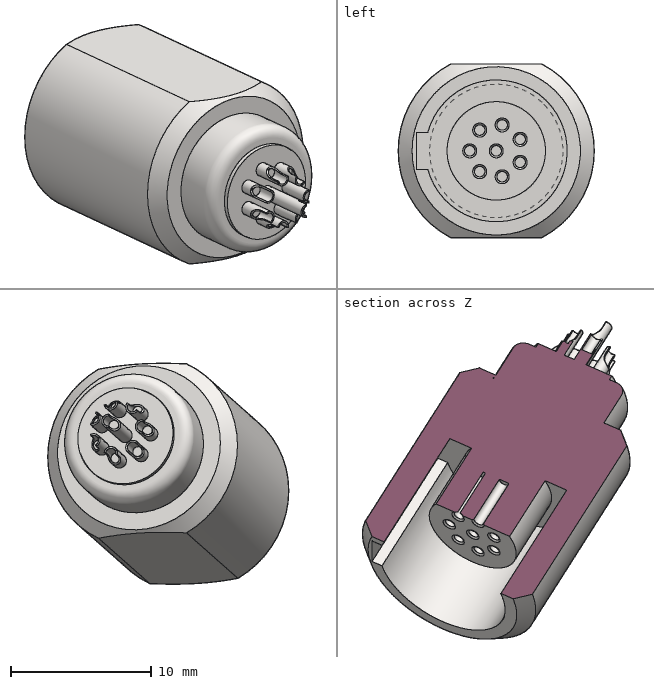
import cadquery as cq
import math

total_length = 24.9

shell_length = 16.38
shell_diameter = 14.0
shell_flat_width = 12.4
shell_chamfer = 1.0

socket_radius = 5.05
socket_depth = 10.0
keyway_width = 2.65
keyway_reach = 5.68

collar_radius = 4.75
collar_end = 19.85
collar_fillet = 0.8

insulator_radius = 3.5
insulator_start = 4.6
insulator_end = 20.2

contact_count = 7
contact_ring_radius = 1.9
contact_radius = 0.5
ring_contact_end = 22.68

pin_hole_radius = 0.37
pin_hole_depth = 3.98
pin_hole_chamfer = contact_radius - pin_hole_radius
cup_bore_radius = 0.37
cup_length = 1.5
cup_cut_radius = 1.0


def rod(radius, start, end):
    """Cylinder on the X axis between two stations."""
    return cq.Workplane("YZ", origin=(start, 0, 0)).circle(radius).extrude(end - start)


def make_shell():
    """Flatted and chamfered barrel with the keyed socket."""
    blank = rod(shell_diameter / 2, 0, shell_length).edges().chamfer(shell_chamfer)
    flats = cq.Workplane("XY").box(
        shell_length, shell_diameter, shell_flat_width, centered=(False, True, True)
    )
    keyway = cq.Workplane("XY").box(
        socket_depth, keyway_reach, keyway_width, centered=(False, False, True)
    )
    return blank.intersect(flats).cut(rod(socket_radius, 0, socket_depth)).cut(keyway)


def make_collar():
    """Rear collar with a rounded end."""
    collar = rod(collar_radius, shell_length, collar_end)
    return collar.faces(">X").edges().fillet(collar_fillet)


def make_pin_hole():
    """Hole in the insulator face with a countersunk mouth."""
    mouth = insulator_start + pin_hole_chamfer
    outline = (
        cq.Workplane("XY")
        .moveTo(insulator_start, 0)
        .lineTo(insulator_start, contact_radius)
        .lineTo(mouth, pin_hole_radius)
        .lineTo(insulator_start + pin_hole_depth, pin_hole_radius)
        .lineTo(insulator_start + pin_hole_depth, 0)
        .close()
    )
    return outline.revolve(360, (0, 0, 0), (1, 0, 0))


def make_contact(end):
    """Contact tail on the X axis whose solder cup opens towards +Y."""
    cup_start = end - cup_length
    run_out = math.sqrt(cup_cut_radius**2 - (cup_cut_radius - contact_radius) ** 2)
    flat_start = cup_start + run_out
    arc_middle_angle = math.asin(run_out / cup_cut_radius) / 2
    arc_middle = (
        flat_start - cup_cut_radius * math.sin(arc_middle_angle),
        cup_cut_radius * (1 - math.cos(arc_middle_angle)),
    )
    opening = (
        cq.Workplane("XY", origin=(0, 0, -contact_radius))
        .moveTo(cup_start, contact_radius)
        .threePointArc(arc_middle, (flat_start, 0))
        .lineTo(end, 0)
        .lineTo(end, contact_radius)
        .close()
        .extrude(2 * contact_radius)
    )
    tail = rod(contact_radius, insulator_end, end)
    return tail.cut(opening).cut(rod(cup_bore_radius, cup_start, end))


def place_on_ring(body, index):
    """Shift a body from the axis to its seat on the contact ring."""
    angle = 360 / contact_count * index
    return body.translate((0, contact_ring_radius, 0)).rotate((0, 0, 0), (1, 0, 0), angle)


result = make_shell().union(make_collar())
result = result.union(rod(insulator_radius, insulator_start, insulator_end))

result = result.union(make_contact(total_length)).cut(make_pin_hole())
for seat in range(contact_count):
    result = result.union(place_on_ring(make_contact(ring_contact_end), seat))
    result = result.cut(place_on_ring(make_pin_hole(), seat))